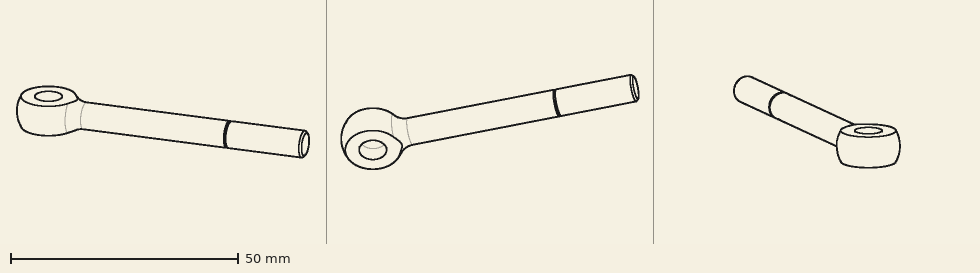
import cadquery as cq
import math

total_length = 67.0
ball_diameter = 14.0
eye_thickness = 7.0
hole_diameter = 6.0
shank_radius = 3.0
neck_fillet_radius = 4.0
end_section_length = 18.0
end_chamfer = 0.5

ball_radius = ball_diameter / 2
shank_end = total_length - ball_radius
groove_start = shank_end - end_section_length
groove_end = groove_start + end_chamfer

neck_center_y = shank_radius + neck_fillet_radius
center_distance = ball_radius + neck_fillet_radius
neck_end = math.sqrt(center_distance**2 - neck_center_y**2)
tangent_x = neck_end * ball_radius / center_distance
tangent_y = neck_center_y * ball_radius / center_distance
neck_mid_angle = (math.atan2(-neck_center_y, -neck_end) - math.pi / 2) / 2
neck_mid = (
    neck_end + neck_fillet_radius * math.cos(neck_mid_angle),
    neck_center_y + neck_fillet_radius * math.sin(neck_mid_angle),
)


def make_bolt_blank():
    """Ball, neck and plain shank turned about the X axis."""
    profile = (
        cq.Workplane("XY")
        .moveTo(-ball_radius, 0)
        .threePointArc((0, ball_radius), (tangent_x, tangent_y))
        .threePointArc(neck_mid, (neck_end, shank_radius))
        .lineTo(shank_end - end_chamfer, shank_radius)
        .lineTo(shank_end, shank_radius - end_chamfer)
        .lineTo(shank_end, 0)
        .close()
    )
    return profile.revolve(360, (0, 0, 0), (1, 0, 0))


def make_groove():
    """Ring cut leaving a square shoulder on the shank and a chamfer on the end section."""
    profile = (
        cq.Workplane("XY")
        .moveTo(groove_start, shank_radius)
        .lineTo(groove_start, shank_radius - end_chamfer)
        .lineTo(groove_end, shank_radius)
        .close()
    )
    return profile.revolve(360, (0, 0, 0), (1, 0, 0))


slab = cq.Workplane("XY").box(2 * total_length, 2 * ball_diameter, eye_thickness)
eye_hole = cq.Workplane("XY").circle(hole_diameter / 2).extrude(eye_thickness, both=True)

result = make_bolt_blank().intersect(slab).cut(eye_hole).cut(make_groove())